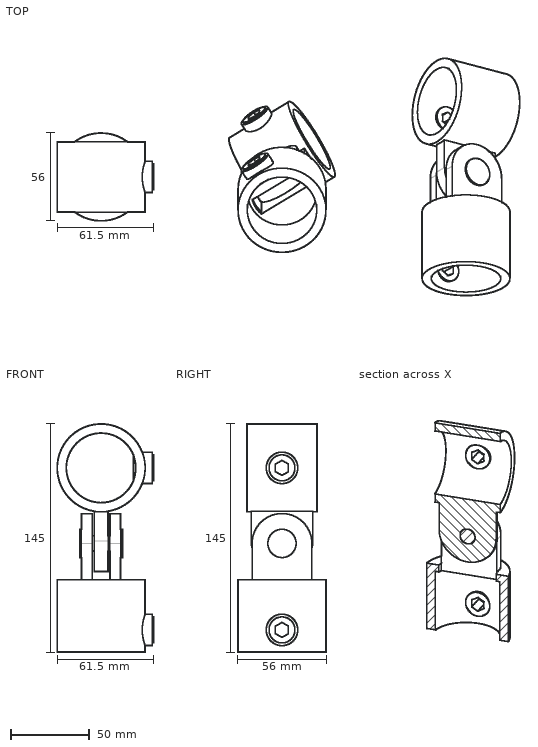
import cadquery as cq

SLEEVE_RADIUS = 28.0
WALL = 6.0
BORE_RADIUS = SLEEVE_RADIUS - WALL
SOCKET_HEIGHT = 46.0
CAP_THICKNESS = 5.1
SLOT_END_RADIUS = 19.7
RING_LENGTH = 44.7
RING_Z = 145 - SLEEVE_RADIUS

PIN_Z = 69.0
PIN_RADIUS = 5.0
PIN_HEAD_RADIUS = 9.0
PIN_HALF_LENGTH = 13.6
LUG_OUTER_X = 12.5
LUG_INNER_X = 5.5
LUG_RADIUS = 19.0
TONGUE_THICKNESS = 9.0
TONGUE_HALF_WIDTH = 19.6
TONGUE_SHOULDER_Z = 70.6
TONGUE_BOTTOM_Z = 51.0

BOSS_RADIUS = 10.0
BOSS_END_X = 32.6
SCREW_RADIUS = 8.3
SCREW_START_X = 20.5
SCREW_END_X = 33.5
SCREW_SOCKET_WIDTH = 8.3
SOCKET_SCREW_Z = 14.0


def cylinder_x(radius, start_x, end_x, z):
    """Cylinder along X between two X positions, centred on Y = 0."""
    return cq.Workplane("YZ", origin=(start_x, 0, z)).circle(radius).extrude(end_x - start_x)


def cylinder_y(radius, length):
    """Cylinder along Y about the ring axis, centred on Y = 0."""
    return cq.Workplane("XZ", origin=(0, 0, RING_Z)).circle(radius).extrude(length / 2, both=True)


def make_lug(start_x):
    """Round-topped plate standing on the socket cap."""
    return (
        cq.Workplane("YZ", origin=(start_x, 0, 0))
        .moveTo(-LUG_RADIUS, SOCKET_HEIGHT)
        .lineTo(LUG_RADIUS, SOCKET_HEIGHT)
        .lineTo(LUG_RADIUS, PIN_Z)
        .threePointArc((0, PIN_Z + LUG_RADIUS), (-LUG_RADIUS, PIN_Z))
        .close()
        .extrude(LUG_OUTER_X - LUG_INNER_X)
    )


def make_cap_slot():
    """Round-ended opening through the cap, as wide as the gap between the lugs."""
    gap = cq.Workplane("XY").rect(2 * LUG_INNER_X, 2 * SLEEVE_RADIUS).extrude(SOCKET_HEIGHT)
    return cq.Workplane("XY").circle(SLOT_END_RADIUS).extrude(SOCKET_HEIGHT).intersect(gap)


def make_socket():
    """Lower sleeve, with a slotted cap, two lugs and a screw boss."""
    body = cq.Workplane("XY").circle(SLEEVE_RADIUS).extrude(SOCKET_HEIGHT)
    body = body.union(cylinder_x(BOSS_RADIUS, 0, BOSS_END_X, SOCKET_SCREW_Z))
    for start_x in (-LUG_OUTER_X, LUG_INNER_X):
        body = body.union(make_lug(start_x))
    body = body.cut(cq.Workplane("XY").circle(BORE_RADIUS).extrude(SOCKET_HEIGHT - CAP_THICKNESS))
    body = body.cut(make_cap_slot())
    body = body.cut(cylinder_x(SCREW_RADIUS, SCREW_START_X, SCREW_END_X, SOCKET_SCREW_Z))
    return body.cut(make_pin())


def make_ring():
    """Upper sleeve along Y with a hinge tongue and a screw boss."""
    tongue = (
        cq.Workplane("YZ")
        .moveTo(-TONGUE_HALF_WIDTH, RING_Z - BORE_RADIUS)
        .lineTo(-TONGUE_HALF_WIDTH, TONGUE_SHOULDER_Z)
        .threePointArc((0, TONGUE_BOTTOM_Z), (TONGUE_HALF_WIDTH, TONGUE_SHOULDER_Z))
        .lineTo(TONGUE_HALF_WIDTH, RING_Z - BORE_RADIUS)
        .close()
        .extrude(TONGUE_THICKNESS / 2, both=True)
    )
    body = cylinder_y(SLEEVE_RADIUS, RING_LENGTH).union(tongue)
    body = body.union(cylinder_x(BOSS_RADIUS, 0, BOSS_END_X, RING_Z))
    body = body.cut(cylinder_y(BORE_RADIUS, RING_LENGTH))
    body = body.cut(cylinder_x(SCREW_RADIUS, SCREW_START_X, SCREW_END_X, RING_Z))
    return body.cut(make_pin())


def make_pin():
    """Hinge pin with a wide round head on each lug's outer face."""
    pin = cylinder_x(PIN_RADIUS, -PIN_HALF_LENGTH, PIN_HALF_LENGTH, PIN_Z)
    pin = pin.union(cylinder_x(PIN_HEAD_RADIUS, -PIN_HALF_LENGTH, -LUG_OUTER_X, PIN_Z))
    return pin.union(cylinder_x(PIN_HEAD_RADIUS, LUG_OUTER_X, PIN_HALF_LENGTH, PIN_Z))


def make_set_screw(z):
    """Headless screw along X with a hexagonal hole right through it."""
    hexagon = (
        cq.Workplane("YZ", origin=(SCREW_START_X, 0, z))
        .polygon(6, SCREW_SOCKET_WIDTH, circumscribed=True)
        .extrude(SCREW_END_X - SCREW_START_X)
    )
    return cylinder_x(SCREW_RADIUS, SCREW_START_X, SCREW_END_X, z).cut(hexagon)


socket = make_socket()
ring = make_ring()
pin = make_pin()
set_screws = [make_set_screw(z).val() for z in (SOCKET_SCREW_Z, RING_Z)]

result = cq.Compound.makeCompound([socket.val(), ring.val(), pin.val(), *set_screws])